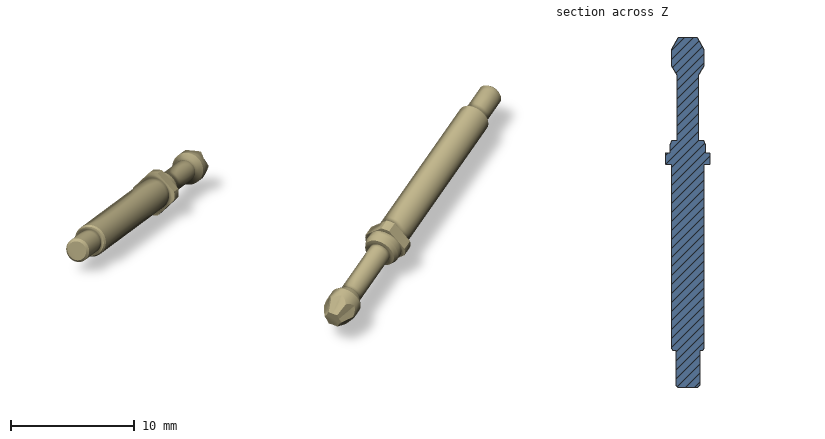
import cadquery as cq
import math

length = 28.3
tip_y = length / 2
rear_y = -length / 2

head_radius = 1.33
head_length = 2.32
neck_length = 0.7
shaft_radius = 0.9

collar_y = tip_y - 8.32
collar_radius = 1.47
collar_bevel_width = 0.17
collar_bevel_length = 0.42
flange_y = tip_y - 9.3
flange_thickness = 1.0
flange_across_flats = 3.0
flange_across_corners = 3.6
body_radius = 1.33
body_chamfer_width = 0.1
body_chamfer_length = 0.17
rear_pin_radius = 1.0
rear_pin_length = 3.0
rear_pin_chamfer = 0.2

flute_count = 6
flute_length = 1.55
flute_tip_radius = 0.62
flute_half_angle = 83.0


def turned_pin():
    """Revolve the stepped round profile about the Y axis."""
    neck_y = tip_y - head_length
    shaft_y = neck_y - neck_length
    body_end_y = rear_y + rear_pin_length
    profile = [
        (0, tip_y),
        (head_radius, tip_y),
        (head_radius, neck_y),
        (shaft_radius, shaft_y),
        (shaft_radius, collar_y),
        (collar_radius - collar_bevel_width, collar_y),
        (collar_radius, collar_y - collar_bevel_length),
        (collar_radius, flange_y),
        (body_radius, flange_y),
        (body_radius, body_end_y + body_chamfer_length),
        (body_radius - body_chamfer_width, body_end_y),
        (rear_pin_radius, body_end_y),
        (rear_pin_radius, rear_y + rear_pin_chamfer),
        (rear_pin_radius - rear_pin_chamfer, rear_y),
        (0, rear_y),
    ]
    return cq.Workplane("XY").polyline(profile).close().revolve(360, (0, 0, 0), (0, 1, 0))


def square_flange():
    """Square plate standing on a corner, with its corners rounded about the pin axis."""
    flange_plane = cq.Workplane("XZ", origin=(0, flange_y, 0))
    square = (
        flange_plane.transformed(rotate=(0, 0, 45))
        .rect(flange_across_flats, flange_across_flats)
        .extrude(flange_thickness)
    )
    disc = flange_plane.circle(flange_across_corners / 2).extrude(flange_thickness)
    return square.intersect(disc)


def flute_cutter():
    """V-shaped wedge whose valley climbs from the tip face to the head surface."""
    valley_slope = (head_radius - flute_tip_radius) / flute_length
    overrun = 0.28
    wedge_height = 2 * head_radius

    def section(y):
        valley_z = flute_tip_radius + (tip_y - y) * valley_slope
        half_width = wedge_height * math.tan(math.radians(flute_half_angle))
        top_z = valley_z + wedge_height
        corners = [(0, valley_z), (half_width, top_z), (-half_width, top_z)]
        return cq.Wire.makePolygon([cq.Vector(x, y, z) for x, z in corners], close=True)

    start = section(tip_y + overrun)
    end = section(tip_y - flute_length - overrun)
    return cq.Workplane(cq.Solid.makeLoft([start, end], True))


result = turned_pin().union(square_flange())
cutter = flute_cutter()
for index in range(flute_count):
    angle = index * 360 / flute_count
    result = result.cut(cutter.rotate((0, 0, 0), (0, 1, 0), angle))